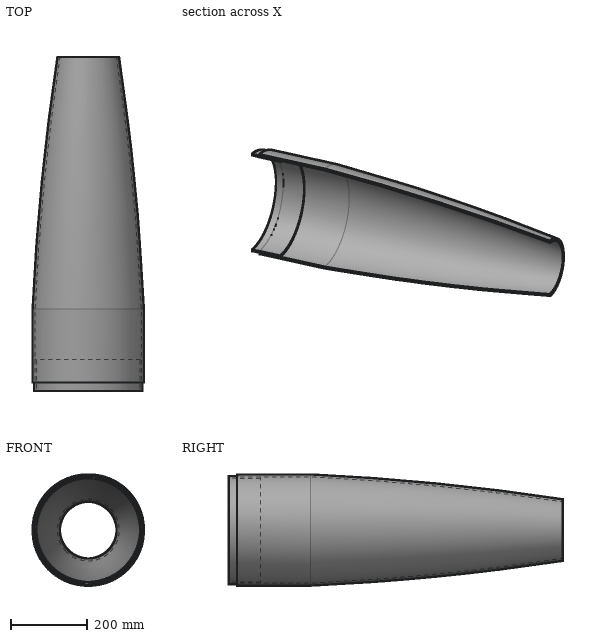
import cadquery as cq

body_diameter = 294.0
tip_diameter = 163.0
shell_wall = 7.0
lip_diameter = 286.0
lip_bore_diameter = 274.0
sleeve_wall = 3.5
cone_bulge = 9.0

length = 879.0
lip_length = 22.0
sleeve_length = 83.5
cone_start = 215.0

body_radius = body_diameter / 2
tip_radius = tip_diameter / 2
cone_mid_radius = (body_radius + tip_radius) / 2 + cone_bulge
lip_radius = lip_diameter / 2
lip_bore_radius = lip_bore_diameter / 2
sleeve_radius = body_radius - shell_wall
sleeve_bore_radius = sleeve_radius - sleeve_wall

front_y = -length / 2
tip_y = length / 2
lip_y = front_y + lip_length
sleeve_y = front_y + sleeve_length
cone_y = front_y + cone_start
cone_mid_y = (cone_y + tip_y) / 2


def revolve_about_y(profile):
    """Turn a closed profile of (Y, radius) points into a solid of revolution."""
    return profile.close().revolve(360, (0, 0, 0), (1, 0, 0))


def make_shell():
    """Tapered shell: a straight tube that runs into a bulging cone, with one wall thickness."""
    profile = (
        cq.Workplane("YZ")
        .moveTo(lip_y, body_radius)
        .lineTo(cone_y, body_radius)
        .threePointArc((cone_mid_y, cone_mid_radius), (tip_y, tip_radius))
        .lineTo(tip_y, tip_radius - shell_wall)
        .threePointArc((cone_mid_y, cone_mid_radius - shell_wall), (cone_y, body_radius - shell_wall))
        .lineTo(lip_y, body_radius - shell_wall)
    )
    return revolve_about_y(profile)


def make_sleeve():
    """Coupling sleeve: an exposed lip with a slightly flared bore, and a thin tube inside the shell."""
    profile = (
        cq.Workplane("YZ")
        .moveTo(front_y, lip_bore_radius)
        .lineTo(front_y, lip_radius)
        .lineTo(lip_y, lip_radius)
        .lineTo(lip_y, sleeve_radius)
        .lineTo(sleeve_y, sleeve_radius)
        .lineTo(sleeve_y, sleeve_bore_radius)
        .lineTo(lip_y, sleeve_bore_radius)
    )
    return revolve_about_y(profile)


shell = make_shell()
sleeve = make_sleeve()
result = cq.Compound.makeCompound([shell.val(), sleeve.val()])